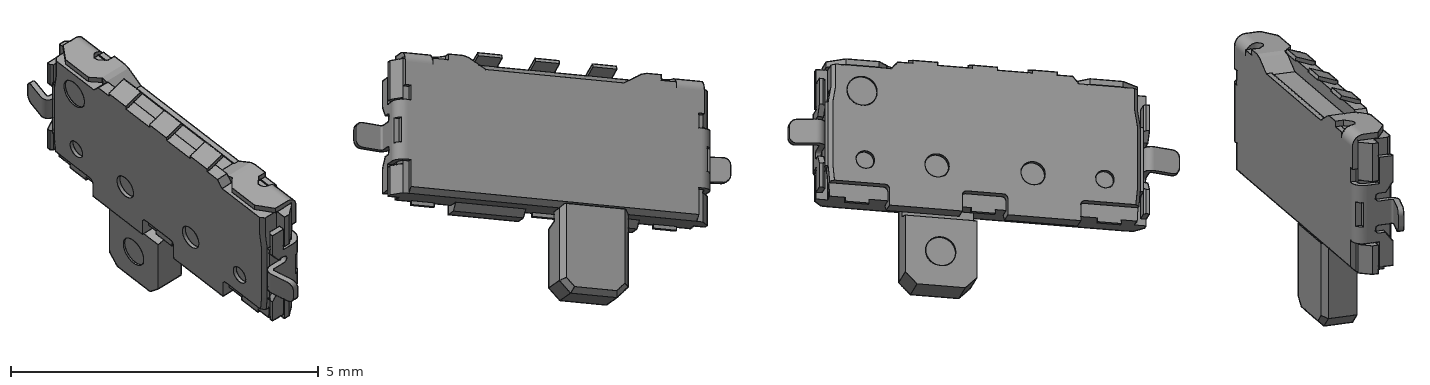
import cadquery as cq
import math


half_width = 2.75
sheet = 0.1
wall_inner = half_width - sheet
front_depth = 0.695
plate_depth = 0.49
side_top = 2.26
top = 2.385
bevel = 0.065
overlap = 0.065
core_half = 2.6
plate_half = 2.555
pad_low, pad_high, pad_depth = 0.5, 1.61, 0.63
rib_land, rib_end = 0.285, 0.39
rib_zones = ((0, 0.495), (1.605, side_top))

dip_floor = 2.185
dip_half_floor = 1.195
dip_half_top = 1.495
dip_shoulder = 2.36
core_floor = 2.165
core_half_floor = dip_half_floor - (
    (dip_floor - core_floor) * (dip_half_top - dip_half_floor) / (dip_shoulder - dip_floor)
)

cover_half = 2.595
cover_chamfer = 0.09
bend_radius = 0.195
bend_start = half_width - bend_radius
flap_inner = 1.59
flap_front = 0.65
flap_outer_corner = (2.31, 0.45)
flap_inner_corner = (1.755, 0.5)
flap_gap = 0.025
notch_outer, notch_inner = 2.11, 1.845
notch_outer_depth, notch_inner_depth = 0.175, 0.14
notch_arc = ((2.03, -0.265), (1.94, -0.24))
arm_low, arm_high = 0.545, 1.555
relief_root = 2.495
reliefs = ((0, arm_low), (arm_high, 1.8))
window_depth = 0.135

terminal_z = 1.045
terminal_width = 0.415
terminal_reach = 3.25
terminal_depth = 0.74
terminal_rise = 12.5
terminal_bend = 0.13
terminal_root = 0.52
tip_radius = 0.125
wing_start, wing_end = 0.41, 0.65
wing_chamfer = 0.04
wing_low, wing_high = 0.11, 2.01
slot_width = 0.135
slot_start = 0.34
slot_flare_start, slot_flare = 0.52, 0.17

plate_half_bottom, plate_half_recess, taper_end = 2.56, 2.575, 1.885
shoulder_outer, shoulder_inner = 1.565, 1.455
tab_width, tab_pitch = 0.415, 0.995
tab_bend_z, tab_tip_z, tab_tip_depth = 2.44, 2.56, 0.365
tab_drop, tab_tip_skew, tab_thickness = 0.06, 0.025, 0.06
foot_inner, foot_outer = 0.38, 1.59
foot_drop, foot_back, foot_toe = 0.125, 0.345, 0.45
recess_top = 0.235
recess_depth = 0.565
recess_radius = 0.08
stud_drop, stud_width, stud_start = 0.065, 0.395, 0.51
stud_centres = (-2.1, 0, 2.1)

large_hole, shallow = 0.5, 0.03
plate_holes = (
    (large_hole, shallow, [(-2.05, 1.83)]),
    (0.4, 0.065, [(-0.8, 0.64), (0.8, 0.64)]),
    (0.305, 0.065, [(-1.995, 0.64), (1.995, 0.64)]),
)

slider_left, slider_right = -1.305, -0.11
slider_bottom = -1.42
slider_front, neck_front = 0.59, 0.34
shoulder_back, shoulder_front = -0.16, -0.235
slider_chamfer = 0.195
slider_back_chamfer = 0.09
slider_mark_x, slider_mark_z = -0.715, -0.81


def block(x0, x1, depth0, depth1, z0, z1):
    """Box between two X values, two depths and two heights."""
    box = cq.Workplane("XY").box(x1 - x0, depth1 - depth0, z1 - z0, centered=False)
    return box.translate((x0, -depth1, z0))


def slab(outline, depth0, depth1):
    """Extrude an XZ outline between two depths."""
    return cq.Workplane("XZ", origin=(0, -depth0, 0)).polyline(outline).close().extrude(depth1 - depth0)


def both_sides(solid):
    """Join a right-hand solid with its mirror image on the left."""
    return solid.union(solid.mirror("YZ"))


def mirrored_outline(right_half):
    """Complete an outline from its right half, listed from bottom to top."""
    return right_half + [(-x, z) for x, z in reversed(right_half)]


def core_slab(half, depth0, depth1):
    """Layer of the body core whose top edge rises under the flaps and dips in the middle."""
    outline = mirrored_outline([
        (half, 0),
        (half, side_top),
        (flap_inner, side_top),
        (flap_inner, top),
        (dip_half_top, dip_shoulder),
        (dip_half_floor, dip_floor),
        (core_half_floor, core_floor),
    ])
    return slab(outline, depth0, depth1)


def body_core():
    rear = core_slab(core_half, sheet, rib_end)
    front = core_slab(plate_half, rib_end, plate_depth)
    pad = block(plate_half, wall_inner, rib_end, pad_depth, pad_low, pad_high)
    return rear.union(front).union(both_sides(pad))


def side_ribs():
    """Corner ribs beside the cover arms, with flanks sloping outward from the cover."""
    section = [
        (core_half, -sheet),
        (half_width, -rib_land),
        (half_width, -rib_end),
        (core_half, -rib_end),
    ]
    ribs = cq.Workplane("XY")
    for low, high in rib_zones:
        rib = cq.Workplane("XY", origin=(0, 0, low)).polyline(section).close().extrude(high - low)
        ribs = ribs.union(rib)
    return both_sides(ribs)


def front_plate():
    """Front plate with beveled flanks and three recesses along its lower edge."""
    outline = mirrored_outline([
        (plate_half_bottom, 0),
        (plate_half_recess, recess_top),
        (core_half, pad_low),
        (core_half, pad_high),
        (plate_half, taper_end),
        (plate_half, side_top),
        (shoulder_outer, side_top),
        (shoulder_inner, top),
    ])
    plate = slab(outline, plate_depth, front_depth)
    flank_inner = plate_half - bevel / 2
    for side in (-1, 1):
        flank = cq.selectors.BoxSelector(
            (side * flank_inner, -front_depth - bevel / 2, -bevel),
            (side * half_width, -front_depth + bevel / 2, top),
        )
        plate = plate.edges(flank).chamfer(bevel)
    recess_edges = ((-half_width, -foot_outer), (-foot_inner, foot_inner), (foot_outer, half_width))
    for left, right in recess_edges:
        recess = block(left, right, recess_depth, front_depth, -recess_top, recess_top)
        plate = plate.cut(recess.edges("|Y and >Z").fillet(recess_radius))
    return plate


def feet():
    section = [(-foot_back, 0), (-foot_toe, -foot_drop), (-front_depth, -foot_drop), (-front_depth, 0)]
    foot_width = foot_outer - foot_inner
    foot = cq.Workplane("YZ", origin=(foot_inner, 0, 0)).polyline(section).close().extrude(foot_width)
    return both_sides(foot)


def studs():
    row = cq.Workplane("XY")
    for x in stud_centres:
        left = x - stud_width / 2
        row = row.union(block(left, left + stud_width, stud_start, recess_depth, -stud_drop, stud_drop))
    return row


def top_tabs():
    """Strips that rise from the front plate and lean back over the dip."""
    tab_root = front_depth - tab_thickness
    section = [
        (-front_depth, top - overlap),
        (-front_depth, tab_bend_z),
        (-tab_tip_depth, tab_tip_z),
        (-tab_tip_depth + tab_tip_skew, tab_tip_z - tab_drop),
        (-tab_root, top),
        (-tab_root, top - overlap),
    ]
    tabs = cq.Workplane("XY")
    for position in (-1, 0, 1):
        left = position * tab_pitch - tab_width / 2
        tab = cq.Workplane("YZ", origin=(left, 0, 0)).polyline(section).close().extrude(tab_width)
        tabs = tabs.union(tab)
    return tabs


def face_holes(plate):
    front = cq.Workplane("XZ", origin=(0, -front_depth, 0))
    for diameter, depth, places in plate_holes:
        plate = plate.cut(front.pushPoints(places).circle(diameter / 2).extrude(-depth))
    return plate


def cover_back():
    outline = mirrored_outline([
        (cover_half, 0),
        (cover_half, top),
        (flap_inner, top),
        (dip_half_top, dip_shoulder),
        (dip_half_floor, dip_floor),
    ])
    back = slab(outline, 0, sheet).edges(">Y and <Z").chamfer(cover_chamfer)
    arm_clearance = block(bend_start, cover_half, 0, sheet, arm_low, arm_high)
    for low, high in reliefs:
        arm_clearance = arm_clearance.union(block(relief_root, cover_half, 0, sheet, low, high))
    return back.cut(both_sides(arm_clearance))


def cover_flaps():
    """Flaps bent over the top, with both front corners cut off."""
    outer_x, outer_depth = flap_outer_corner
    inner_x, inner_depth = flap_inner_corner
    outline = [
        (cover_half, 0),
        (cover_half, -outer_depth),
        (outer_x, -flap_front),
        (inner_x, -flap_front),
        (flap_inner, -inner_depth),
        (flap_inner, 0),
    ]
    underside = side_top + flap_gap
    flap = cq.Workplane("XY", origin=(0, 0, underside)).polyline(outline).close().extrude(top - underside)
    return both_sides(flap)


def flap_cutters():
    """Relief notches and the rounded outside of the flap bends."""
    notch = (
        cq.Workplane("XY", origin=(0, 0, side_top + flap_gap))
        .moveTo(notch_outer, 0)
        .lineTo(notch_outer, -notch_outer_depth)
        .threePointArc(*notch_arc)
        .lineTo(notch_inner, -notch_inner_depth)
        .lineTo(notch_inner, 0)
        .close()
        .extrude(sheet)
    )
    middle = bend_radius * (1 - math.sqrt(0.5))
    rounding = (
        cq.Workplane("YZ", origin=(notch_outer, 0, 0))
        .moveTo(-bend_radius, top)
        .threePointArc((-middle, top - middle), (0, top - bend_radius))
        .lineTo(0, top)
        .close()
        .extrude(half_width - notch_outer)
    )
    return both_sides(notch.union(rounding))


def cover_arm():
    """Right-hand side wall: bent from the back, with two wings and slots beside the terminal."""
    inner_radius = bend_radius - sheet
    diagonal = math.sqrt(0.5)
    arm = (
        cq.Workplane("XY", origin=(0, 0, arm_low))
        .moveTo(bend_start, 0)
        .threePointArc(
            (bend_start + bend_radius * diagonal, -bend_radius + bend_radius * diagonal),
            (half_width, -bend_radius),
        )
        .lineTo(half_width, -wing_end)
        .lineTo(wall_inner, -wing_end)
        .lineTo(wall_inner, -bend_radius)
        .threePointArc(
            (bend_start + inner_radius * diagonal, -bend_radius + inner_radius * diagonal),
            (bend_start, -sheet),
        )
        .close()
        .extrude(arm_high - arm_low)
    )
    wing = block(wall_inner, half_width, wing_start, wing_end, wing_low, wing_high)
    arm = arm.union(wing.edges("|Z and <X and <Y").chamfer(wing_chamfer))

    slot_radius = slot_width / 2
    slot_edge = terminal_width / 2
    slot = (
        cq.Workplane("YZ", origin=(wall_inner, 0, terminal_z))
        .moveTo(-wing_end, slot_edge)
        .lineTo(-slot_start - slot_radius, slot_edge)
        .threePointArc(
            (-slot_start, slot_edge + slot_radius), (-slot_start - slot_radius, slot_edge + slot_width)
        )
        .lineTo(-slot_flare_start, slot_edge + slot_width)
        .lineTo(-wing_end, slot_edge + slot_width + slot_flare)
        .close()
        .extrude(sheet)
    )
    arm = arm.cut(slot).cut(slot.mirror("XY", (0, 0, terminal_z)))
    window_low = terminal_z - terminal_width / 2
    window_high = window_low + terminal_width
    bend_top = terminal_depth - terminal_bend
    window = block(wall_inner, half_width, 0, window_depth, window_low, window_high)
    bend_room = block(wall_inner, half_width, bend_top, wing_end, window_low, window_high)
    return arm.cut(window).cut(bend_room)


def terminal():
    """Right-hand terminal: leaves the side wall, turns outward and rises to a rounded tip."""
    low = terminal_z - terminal_width / 2
    centre_x, centre_y = wall_inner + terminal_bend, terminal_bend - terminal_depth
    inner_radius = terminal_bend - sheet
    rise = math.radians(terminal_rise)

    def on_bend(radius, angle):
        """Point of the bend at an angle from straight down, positive toward the tip."""
        return (centre_x + radius * math.sin(angle), centre_y - radius * math.cos(angle))

    def at_tip(radius):
        start_x, start_y = on_bend(radius, rise)
        return (terminal_reach, start_y + (terminal_reach - start_x) * math.tan(rise))

    strip = (
        cq.Workplane("XY", origin=(0, 0, low))
        .moveTo(wall_inner, centre_y)
        .threePointArc(on_bend(terminal_bend, -math.pi / 4), on_bend(terminal_bend, rise))
        .lineTo(*at_tip(terminal_bend))
        .lineTo(*at_tip(inner_radius))
        .lineTo(*on_bend(inner_radius, rise))
        .threePointArc(on_bend(inner_radius, -math.pi / 4), (half_width, centre_y))
        .lineTo(half_width, -terminal_root)
        .lineTo(wall_inner, -terminal_root)
        .close()
        .extrude(terminal_width)
    )
    return strip.edges(">X and |Y").fillet(tip_radius)


def slider():
    profile = [
        (0, overlap),
        (0, slider_bottom),
        (-slider_front, slider_bottom),
        (-slider_front, shoulder_front),
        (-neck_front, shoulder_back),
        (-neck_front, overlap),
    ]
    width = slider_right - slider_left
    bar = cq.Workplane("YZ", origin=(slider_left, 0, 0)).polyline(profile).close().extrude(width)
    bar = bar.edges("|Y and <Z").chamfer(slider_chamfer)
    bar = bar.faces(">Y").edges("not >Z").chamfer(slider_back_chamfer)
    mark = cq.Workplane("XZ", origin=(slider_mark_x, -slider_front, slider_mark_z))
    return bar.cut(mark.circle(large_hole / 2).extrude(-shallow))


body = body_core().union(side_ribs()).union(face_holes(front_plate()))
body = body.union(feet()).union(studs()).union(top_tabs())
side_walls = both_sides(cover_arm().union(terminal()))
cover = cover_back().union(cover_flaps()).union(side_walls).cut(flap_cutters())
result = body.union(cover).union(slider())